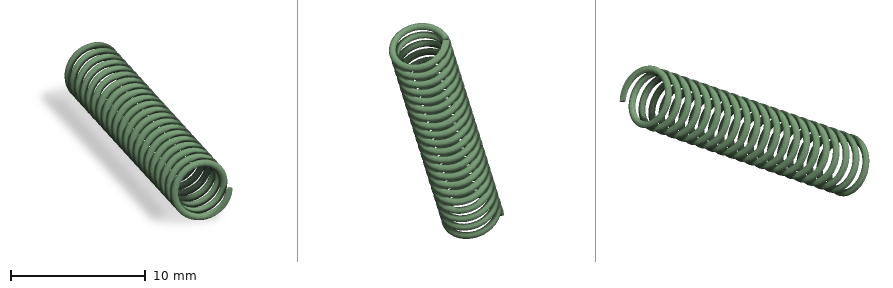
import cadquery as cq

length = 22.9
outer_diameter = 4.65
wire_diameter = 0.5
turns = 21

pitch = length / turns
coil_radius = (outer_diameter - wire_diameter) / 2


def coiled_wire():
    """Right-handed coil rising along Z, starting on the +X side."""
    path = cq.Wire.makeHelix(pitch, length, coil_radius)
    section = cq.Workplane("XZ").center(coil_radius, 0).circle(wire_diameter / 2)
    return section.sweep(cq.Workplane(obj=path), isFrenet=True)


def ground_flat(coil):
    """Keep only the wire between the two flat end planes."""
    envelope = cq.Workplane("XY").circle(outer_diameter).extrude(length)
    return coil.intersect(envelope)


def lay_along_x(spring):
    """Turn Z onto X, X onto Y and Y onto Z."""
    return spring.rotate((0, 0, 0), (1, 1, 1), 120)


result = lay_along_x(ground_flat(coiled_wire()))